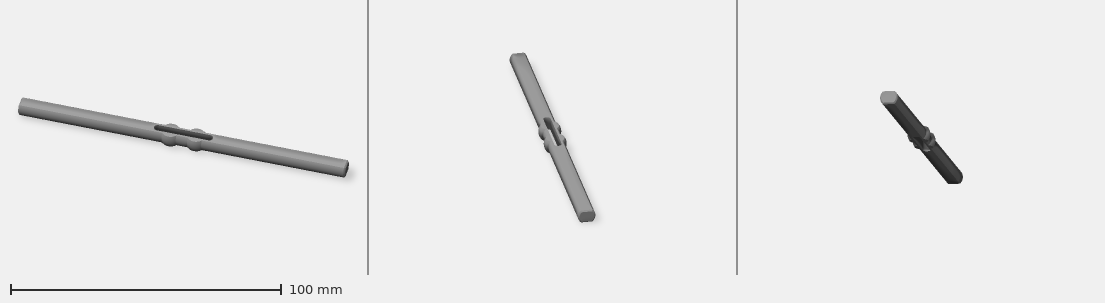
import cadquery as cq
import math

length = 125.0
thickness = 5.0
flat_width = 4.2
rod_radius = math.hypot(flat_width / 2, thickness / 2)
end_chamfer = 0.5

bulge_radius = 4.2
bulge_spacing = 9.8

slot_length = 22.5
slot_width = 2.8


def flatten(solid):
    """Keep only the part of a solid between the two parallel flats."""
    flat_zone = cq.Workplane("XY").box(length, 2 * bulge_radius, thickness)
    return solid.intersect(flat_zone)


def make_rod():
    """Flattened round bar along X with both end faces chamfered."""
    rod = cq.Workplane("YZ").circle(rod_radius).extrude(length / 2, both=True)
    return flatten(rod).faces("<X or >X").chamfer(end_chamfer)


def make_bulge(x):
    """Flattened ball centred on the bar axis at the given x."""
    ball = cq.Workplane("XY").sphere(bulge_radius).translate((x, 0, 0))
    return flatten(ball)


def make_slot():
    """Cutter for the long slot, running through the bar along Z."""
    return cq.Workplane("XY").slot2D(slot_length, slot_width).extrude(thickness, both=True)


body = make_rod()
for side in (-1, 1):
    body = body.union(make_bulge(side * bulge_spacing / 2))

result = body.cut(make_slot())